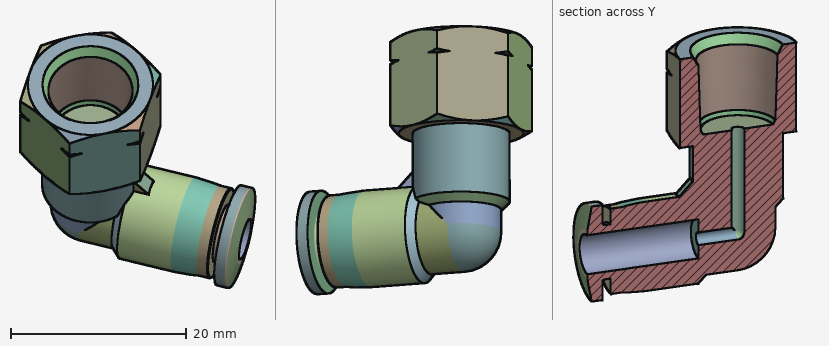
import cadquery as cq
import math


hex_sides = 6
across_flats = 14.2875
half_side_angle = 180 / hex_sides
across_corners = across_flats / math.cos(math.radians(half_side_angle))
flat_radius = across_flats / 2
corner_radius = across_corners / 2
top_z = 22.5
hex_height = 11.0
hex_bottom_z = top_z - hex_height
corner_chamfer_angle = 30.0
envelope_margin = 0.5

mark_depth_below_top = 3.0
mark_root_radius = 7.62
mark_height_at_corner = 0.5

port_mouth_radius = 10.94 / 2
port_taper_top_radius = 9.6 / 2
port_taper_bottom_radius = 9.1 / 2
port_floor_radius = 8.5 / 2
port_taper_on_diameter = 1 / 16
port_chamfer_angle = 30.0
port_chamfer_slope = math.tan(math.radians(port_chamfer_angle))
port_taper_top_z = top_z - (port_mouth_radius - port_taper_top_radius) / port_chamfer_slope
port_taper_length = 2 * (port_taper_top_radius - port_taper_bottom_radius) / port_taper_on_diameter
port_taper_bottom_z = port_taper_top_z - port_taper_length
port_floor_z = port_taper_bottom_z - (port_taper_bottom_radius - port_floor_radius) / port_chamfer_slope

body_radius = 11.1 / 2
elbow_radius = 4.6
shoulder = body_radius - elbow_radius
stem_bottom_z = 3.5
socket_start_x = 4.85
taper_start_x = 11.26
taper_end_x = 14.26
socket_end_x = 15.6
socket_end_radius = 10.6 / 2
socket_edge_chamfer = 0.1

rib_leg = 1.63
rib_width = 2.0

ring_radius = 11.8 / 2
ring_neck_radius = 6.76 / 2
ring_neck_fillet = 0.3
ring_back_x = 16.53
ring_rim_end_x = 17.8
ring_edge_round = 0.13
ring_face_x = 18.45
ring_face_radius = 2.98

passage_radius = 1.5 / 2
tube_radius = 4.76 / 2
tube_stop_x = socket_start_x


def around_z(profile):
    """Revolve a closed XZ profile about the Z axis."""
    return profile.close().revolve(360, (0, 0, 0), (0, 1, 0))


def around_x(profile):
    """Revolve a closed XZ profile about the X axis."""
    return profile.close().revolve(360, (0, 0, 0), (1, 0, 0))


def make_hexagon():
    """Hexagon with corners on +Y and -Y, chamfered at both ends, with corner marks."""
    hexagon = (
        cq.Workplane("XY", origin=(0, 0, hex_bottom_z))
        .polygon(hex_sides, across_corners)
        .extrude(hex_height)
        .rotate((0, 0, 0), (0, 0, 1), half_side_angle)
    )
    envelope_radius = corner_radius + envelope_margin
    drop = (envelope_radius - flat_radius) * math.tan(math.radians(corner_chamfer_angle))
    envelope = around_z(
        cq.Workplane("XZ")
        .moveTo(0, hex_bottom_z)
        .lineTo(flat_radius, hex_bottom_z)
        .lineTo(envelope_radius, hex_bottom_z + drop)
        .lineTo(envelope_radius, top_z - drop)
        .lineTo(flat_radius, top_z)
        .lineTo(0, top_z)
    )
    mark_z = top_z - mark_depth_below_top
    mark_slope = mark_height_at_corner / 2 / (corner_radius - mark_root_radius)
    mark_half_height = mark_slope * (envelope_radius - mark_root_radius)
    mark = around_z(
        cq.Workplane("XZ")
        .moveTo(mark_root_radius, mark_z)
        .lineTo(envelope_radius, mark_z - mark_half_height)
        .lineTo(envelope_radius, mark_z + mark_half_height)
    )
    return hexagon.intersect(envelope).cut(mark)


def make_stem():
    """Vertical leg of the elbow, with a domed lower end."""
    dome_mid = elbow_radius * math.sqrt(0.5)
    return around_z(
        cq.Workplane("XZ")
        .moveTo(0, -elbow_radius)
        .threePointArc((dome_mid, -dome_mid), (elbow_radius, 0))
        .lineTo(elbow_radius, stem_bottom_z - shoulder)
        .lineTo(body_radius, stem_bottom_z)
        .lineTo(body_radius, hex_bottom_z)
        .lineTo(0, hex_bottom_z)
    )


def make_socket():
    """Horizontal leg of the elbow, narrowing along a curve to its open end."""
    return around_x(
        cq.Workplane("XZ")
        .lineTo(0, elbow_radius)
        .lineTo(socket_start_x - shoulder, elbow_radius)
        .lineTo(socket_start_x, body_radius)
        .lineTo(taper_start_x, body_radius)
        .tangentArcPoint((taper_end_x, socket_end_radius), relative=False)
        .lineTo(socket_end_x - socket_edge_chamfer, socket_end_radius)
        .lineTo(socket_end_x, socket_end_radius - socket_edge_chamfer)
        .lineTo(socket_end_x, 0)
    )


def make_release_ring():
    """Flanged ring with a filleted neck and a shallow conical front."""
    neck_fillet_x = ring_back_x - ring_neck_fillet
    rim_round_x = ring_rim_end_x + ring_edge_round
    return around_x(
        cq.Workplane("XZ")
        .moveTo(tube_stop_x, 0)
        .lineTo(tube_stop_x, ring_neck_radius)
        .lineTo(neck_fillet_x, ring_neck_radius)
        .tangentArcPoint((ring_back_x, ring_neck_radius + ring_neck_fillet), relative=False)
        .lineTo(ring_back_x, ring_radius)
        .lineTo(ring_rim_end_x, ring_radius)
        .tangentArcPoint((rim_round_x, ring_radius - ring_edge_round), relative=False)
        .lineTo(ring_face_x, ring_face_radius)
        .lineTo(ring_face_x, 0)
    )


def make_rib():
    """Triangular rib at 45 degrees, rooted inside both legs of the elbow."""
    root = elbow_radius
    reach = 2 * body_radius + rib_leg - root
    return (
        cq.Workplane("XZ")
        .moveTo(root, root)
        .lineTo(reach, root)
        .lineTo(root, reach)
        .close()
        .extrude(rib_width / 2, both=True)
    )


def make_port():
    """Volume of the tapered port, with a conical mouth and a conical floor edge."""
    return around_z(
        cq.Workplane("XZ")
        .moveTo(0, port_floor_z)
        .lineTo(port_floor_radius, port_floor_z)
        .lineTo(port_taper_bottom_radius, port_taper_bottom_z)
        .lineTo(port_taper_top_radius, port_taper_top_z)
        .lineTo(port_mouth_radius, top_z)
        .lineTo(0, top_z)
    )


def make_flow_path():
    """Port, narrow passage with a rounded elbow, and tube bore."""
    round_mid = passage_radius * math.sqrt(0.5)
    vertical_passage = around_z(
        cq.Workplane("XZ")
        .moveTo(0, -passage_radius)
        .threePointArc((round_mid, -round_mid), (passage_radius, 0))
        .lineTo(passage_radius, port_floor_z)
        .lineTo(0, port_floor_z)
    )
    horizontal_passage = cq.Workplane("YZ").circle(passage_radius).extrude(tube_stop_x)
    tube_bore = (
        cq.Workplane("YZ", origin=(tube_stop_x, 0, 0))
        .circle(tube_radius)
        .extrude(ring_face_x - tube_stop_x)
    )
    return make_port().union(vertical_passage).union(horizontal_passage).union(tube_bore)


fitting = make_stem().union(make_socket())
fitting = fitting.union(make_rib())
fitting = fitting.union(make_hexagon())
fitting = fitting.union(make_release_ring())
result = fitting.cut(make_flow_path())